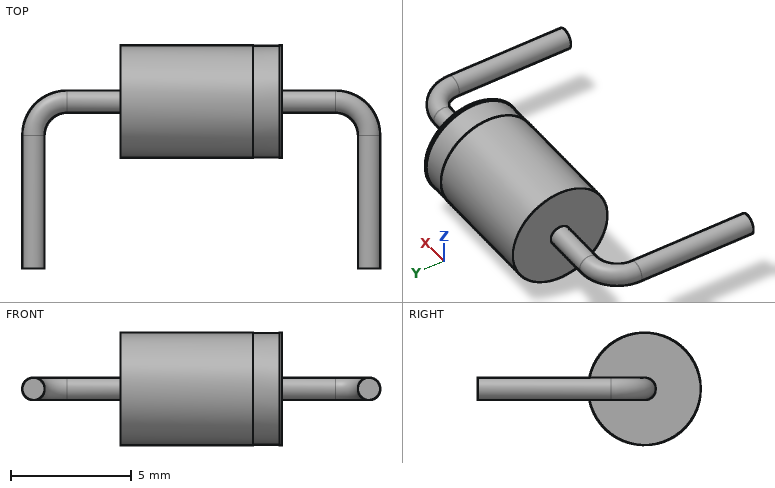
import cadquery as cq

overall_length = 14.91
body_diameter = 4.7
body_length = 6.74

wire_diameter = 0.94
bend_radius = 1.4
lead_reach = 6.95

band_width = 1.22
band_diameter = 4.67
rim_width = 0.12

body_end = body_length / 2
lead_x = overall_length / 2 - wire_diameter / 2


def cylinder_along_x(start, length, diameter):
    return cq.Workplane("YZ", origin=(start, 0, 0)).circle(diameter / 2).extrude(length)


def make_body():
    band_start = body_end - band_width
    main = cylinder_along_x(-body_end, body_length - band_width, body_diameter)
    band = cylinder_along_x(band_start, band_width - rim_width, band_diameter)
    rim = cylinder_along_x(body_end - rim_width, rim_width, body_diameter)
    return main.union(band).union(rim)


def make_leads():
    bend_start = lead_x - bend_radius
    path = (
        cq.Workplane("XY")
        .moveTo(-lead_x, -lead_reach)
        .lineTo(-lead_x, -bend_radius)
        .radiusArc((-bend_start, 0), bend_radius)
        .lineTo(bend_start, 0)
        .radiusArc((lead_x, -bend_radius), bend_radius)
        .lineTo(lead_x, -lead_reach)
    )
    tip = cq.Workplane("XZ", origin=(-lead_x, -lead_reach, 0)).circle(wire_diameter / 2)
    return tip.sweep(path)


result = make_body().union(make_leads())